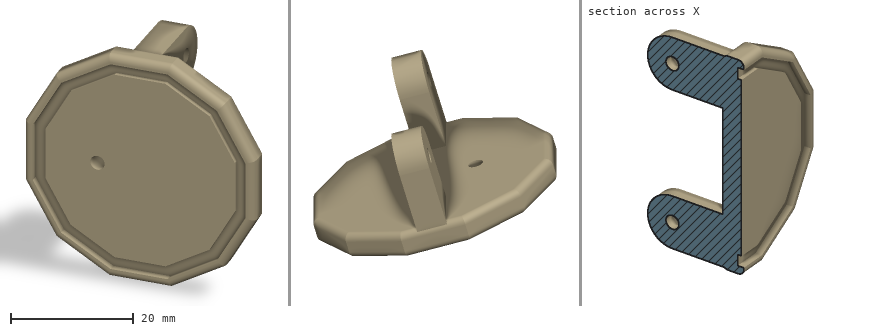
import cadquery as cq
import math

side_count = 12
plate_width = 40.5
plate_thickness = 4.37
edge_radius = 1.2

rim_width = 1.58
recess_depth = 1.25
groove_width = 2.02
panel_height = 0.75

hole_diameter = 2.5
plate_hole_x = -7.5

lug_thickness = 5.0
lug_width = 10.0
lug_hole_reach = lug_width
lug_offset_z = 14.98

lug_radius = lug_width / 2
recess_width = plate_width - 2 * rim_width
panel_width = recess_width - 2 * groove_width


def dodecagon(across_flats, start_y, depth):
    """Twelve-sided prism along +Y with flats facing along X and Z."""
    half_step = math.pi / side_count
    corner_radius = across_flats / 2 / math.cos(half_step)
    corners = []
    for i in range(side_count):
        angle = (2 * i + 1) * half_step
        corners.append((corner_radius * math.cos(angle), corner_radius * math.sin(angle)))
    plane = cq.Workplane("XZ", origin=(0, start_y, 0))
    return plane.polyline(corners).close().extrude(-depth)


def lug(center_z):
    """Round-ended lug, rooted inside the plate and drilled along X."""
    hole_y = plate_thickness + lug_hole_reach
    root_y = plate_thickness - edge_radius
    plane = cq.Workplane("YZ", origin=(-lug_thickness / 2, 0, center_z))
    body = (
        plane.moveTo(root_y, -lug_radius)
        .lineTo(hole_y, -lug_radius)
        .threePointArc((hole_y + lug_radius, 0), (hole_y, lug_radius))
        .lineTo(root_y, lug_radius)
        .close()
        .extrude(lug_thickness)
    )
    hole = plane.center(hole_y, 0).circle(hole_diameter / 2).extrude(lug_thickness)
    return body.cut(hole)


result = dodecagon(plate_width, 0, plate_thickness).faces("<Y or >Y").edges().fillet(edge_radius)

result = result.cut(dodecagon(recess_width, 0, recess_depth))
result = result.union(dodecagon(panel_width, recess_depth - panel_height, panel_height))

plate_hole = (
    cq.Workplane("XZ")
    .center(plate_hole_x, 0)
    .circle(hole_diameter / 2)
    .extrude(-plate_thickness)
)
result = result.cut(plate_hole)

for center_z in (-lug_offset_z, lug_offset_z):
    result = result.union(lug(center_z))